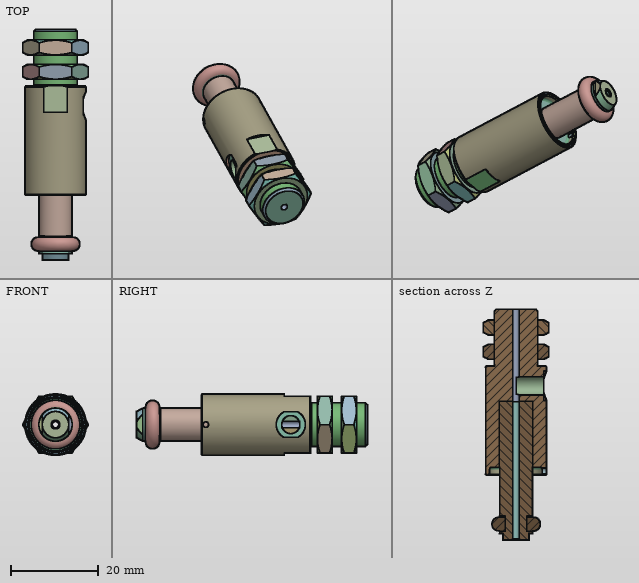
import cadquery as cq
import math

length = 52.7

body_dia = 14.0
body_front_y = 14.75
body_rear_y = 39.75
body_chamfer = 0.25
neck_dia = 10.0
neck_chamfer = 0.55
relief_dia = 9.8
relief_width = 0.25
wrench_flat_width = 12.95
wrench_flat_front_y = 33.75

recess_dia = 12.0
recess_depth = 1.85
recess_floor_fillet = 0.55
mouth_chamfer = 0.3

rod_socket_end_y = 31.6
passage_dia = 1.5
port_y = 35.2
port_dia = 4.1
port_spotface_dia = 6.65
port_spotface_x = 6.4
vent_dia = 1.25
vent_y = 15.8

rod_dia = 7.6
rod_bore_dia = passage_dia
rod_bore_chamfer = 0.25
groove_dia = 5.0
groove_front_y = 2.05
groove_width = 3.4
nose_length = 1.5
tip_dia = 6.0
nose_flat_width = 5.95

ring_width = 3.2
ring_dia = 11.1
ring_flank_dia = 8.05

nut_corner_dia = 15.0
nut_thickness = 3.5
nut_face_dia = 12.75
nut_chamfer_angle = 30.0
rear_nut_y = 46.75
nut_spacing = 5.55
nut_count = 2


def cylinder_y(dia, start_y, end_y):
    """Cylinder on the common axis between two Y positions."""
    return cq.Workplane("XZ", origin=(0, start_y, 0)).circle(dia / 2).extrude(start_y - end_y)


def radial_hole(dia, y, start_x, end_x):
    """Cylinder along +X at a given Y position."""
    return cq.Workplane("YZ", origin=(start_x, y, 0)).circle(dia / 2).extrude(end_x - start_x)


def side_cutter(size, start_y, end_y, width, axis):
    """Pair of blocks that leave two parallel flats, `width` apart, facing along X or Z."""
    cutters = cq.Workplane("XY")
    for side in (-1, 1):
        offset = side * (width + size) / 2
        x, z = (offset, 0) if axis == "X" else (0, offset)
        block = cq.Workplane("XY").box(size, end_y - start_y, size)
        cutters = cutters.add(block.translate((x, (start_y + end_y) / 2, z)))
    return cutters.combine()


def make_recess():
    """Recess with a rounded floor edge and a chamfered mouth."""
    radius = recess_dia / 2
    floor_y = body_front_y + recess_depth
    fillet = recess_floor_fillet
    arc_offset = fillet * (1 - math.sqrt(0.5))
    section = (
        cq.Workplane("XY")
        .moveTo(0, body_front_y)
        .lineTo(radius + mouth_chamfer, body_front_y)
        .lineTo(radius, body_front_y + mouth_chamfer)
        .lineTo(radius, floor_y - fillet)
        .threePointArc((radius - arc_offset, floor_y - arc_offset), (radius - fillet, floor_y))
        .lineTo(0, floor_y)
        .close()
    )
    return section.revolve(360, (0, 0, 0), (0, 1, 0))


def make_housing():
    body = cylinder_y(body_dia, body_front_y, body_rear_y)
    body = body.faces("<Y or >Y").edges().chamfer(body_chamfer)
    body = body.cut(side_cutter(body_dia, wrench_flat_front_y, body_rear_y, wrench_flat_width, "Z"))
    neck = cylinder_y(neck_dia, body_rear_y, length).faces(">Y").edges().chamfer(neck_chamfer)
    relief_rear_y = body_rear_y + relief_width
    relief = cylinder_y(neck_dia, body_rear_y, relief_rear_y)
    relief = relief.cut(cylinder_y(relief_dia, body_rear_y, relief_rear_y))
    neck = neck.cut(relief)
    housing = body.union(neck).cut(make_recess())
    housing = housing.cut(cylinder_y(rod_dia, body_front_y, rod_socket_end_y))
    housing = housing.cut(cylinder_y(passage_dia, rod_socket_end_y, length))
    housing = housing.cut(radial_hole(port_spotface_dia, port_y, port_spotface_x, body_dia))
    housing = housing.cut(radial_hole(port_dia, port_y, 0, body_dia))
    return housing.cut(radial_hole(vent_dia, vent_y, rod_dia / 2, body_dia))


def make_rod():
    groove_rear_y = groove_front_y + groove_width
    profile = [
        (rod_bore_dia / 2, rod_bore_chamfer),
        (rod_bore_dia / 2 + rod_bore_chamfer, 0),
        (tip_dia / 2, 0),
        (rod_dia / 2, nose_length),
        (rod_dia / 2, groove_front_y),
        (groove_dia / 2, groove_front_y),
        (groove_dia / 2, groove_rear_y),
        (rod_dia / 2, groove_rear_y),
        (rod_dia / 2, rod_socket_end_y),
        (rod_bore_dia / 2, rod_socket_end_y),
    ]
    rod = cq.Workplane("XY").polyline(profile).close().revolve(360, (0, 0, 0), (0, 1, 0))
    return rod.cut(side_cutter(rod_dia, 0, nose_length, nose_flat_width, "X"))


def make_ring():
    """Ring seated in the groove, with flat flanks and a rounded rim."""
    rear_y = groove_front_y + ring_width
    middle_y = (groove_front_y + rear_y) / 2
    section = (
        cq.Workplane("XY")
        .moveTo(groove_dia / 2, groove_front_y)
        .lineTo(ring_flank_dia / 2, groove_front_y)
        .threePointArc((ring_dia / 2, middle_y), (ring_flank_dia / 2, rear_y))
        .lineTo(groove_dia / 2, rear_y)
        .close()
    )
    return section.revolve(360, (0, 0, 0), (0, 1, 0))


def make_nut(front_y):
    """Hexagon nut with corners on X and both end faces chamfered."""
    hexagon = cq.Workplane("XZ", origin=(0, front_y, 0)).polygon(6, nut_corner_dia).extrude(-nut_thickness)
    corner_radius = nut_corner_dia / 2
    drop = (nut_corner_dia - nut_face_dia) / 2 * math.tan(math.radians(nut_chamfer_angle))
    rear_y = front_y + nut_thickness
    profile = [
        (0, front_y),
        (nut_face_dia / 2, front_y),
        (corner_radius, front_y + drop),
        (corner_radius, rear_y - drop),
        (nut_face_dia / 2, rear_y),
        (0, rear_y),
    ]
    envelope = cq.Workplane("XY").polyline(profile).close().revolve(360, (0, 0, 0), (0, 1, 0))
    return hexagon.intersect(envelope).cut(cylinder_y(neck_dia, front_y, rear_y))


housing = make_housing()
rod = make_rod()
ring = make_ring()
nuts = [make_nut(rear_nut_y - index * nut_spacing) for index in range(nut_count)]

result = cq.Compound.makeCompound(
    [housing.val(), rod.val(), ring.val(), *[nut.val() for nut in nuts]]
)